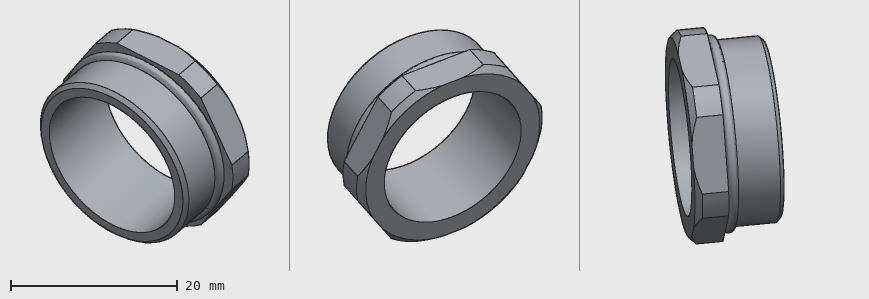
import cadquery as cq

total_length = 11.0
head_length = 4.0
head_sides = 6
head_diameter = 25.77
across_flats = 24.0
head_chamfer = 0.8
sleeve_radius = 11.25
sleeve_chamfer = 0.52
bore_radius = 9.5
ring_thickness = 1.42
ring_outer_radius = 11.93

sleeve_length = total_length - head_length


def axial_plane(y):
    """Workplane across the axis at height y, facing +Y with its local x along Z."""
    return cq.Workplane(cq.Plane(origin=(0, y, 0), xDir=(0, 0, 1), normal=(0, 1, 0)))


def make_head():
    """Hexagon with corners on X, turned down to a chamfered cylinder."""
    hexagon = (
        axial_plane(sleeve_length)
        .polygon(head_sides, across_flats, circumscribed=True)
        .extrude(head_length)
    )
    turned_blank = (
        axial_plane(sleeve_length)
        .circle(head_diameter / 2)
        .extrude(head_length)
        .faces(">Y")
        .chamfer(head_chamfer)
    )
    return hexagon.intersect(turned_blank)


def make_sleeve():
    """Plain cylinder, reaching through the head, with a chamfered free end."""
    return (
        axial_plane(0)
        .circle(sleeve_radius)
        .extrude(total_length)
        .faces("<Y")
        .chamfer(sleeve_chamfer)
    )


def make_seal_ring():
    """Round-section ring seated against the head."""
    section_radius = ring_thickness / 2
    center_radius = ring_outer_radius - section_radius
    return (
        cq.Workplane("XY")
        .moveTo(center_radius, sleeve_length - section_radius)
        .circle(section_radius)
        .revolve(360, (0, 0), (0, 1))
    )


bore = axial_plane(0).circle(bore_radius).extrude(total_length)

result = make_head().union(make_sleeve()).union(make_seal_ring()).cut(bore)